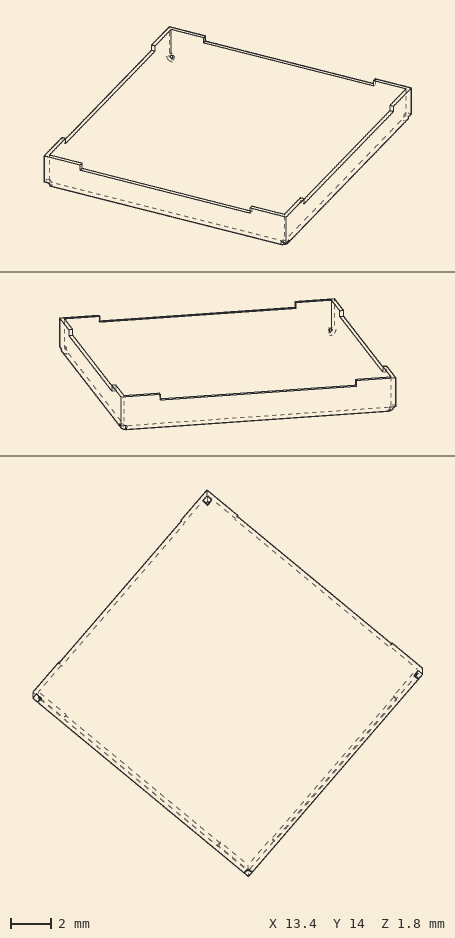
import cadquery as cq

length_x = 13.4
length_y = 14.0
height = 1.8
sheet = 0.2
inner_bend_radius = 0.1
notch_depth = 0.3
corner_tab_length = 2.0

bend_radius = sheet + inner_bend_radius
floor_x = length_x - 2 * bend_radius
floor_y = length_y - 2 * bend_radius


def make_floor():
    return cq.Workplane("XY").box(floor_x, floor_y, sheet, centered=(True, True, False))


def make_bend(outer_face, bend_length):
    """Quarter-round bend along Y, rising from the floor to the wall at x = outer_face."""
    section = (
        cq.Workplane("XZ")
        .moveTo(outer_face - bend_radius, 0)
        .radiusArc((outer_face, bend_radius), -bend_radius)
        .lineTo(outer_face - sheet, bend_radius)
        .radiusArc((outer_face - bend_radius, sheet), inner_bend_radius)
        .close()
    )
    return section.extrude(bend_length / 2, both=True)


def make_wall(outer_face, wall_length, side_length):
    """Upright wall along Y above the bend, with its top edge lowered between the corner tabs."""
    wall = cq.Workplane("XY").box(
        sheet, wall_length, height - bend_radius, centered=(True, True, False)
    )
    notch_length = side_length - 2 * corner_tab_length
    notch = (
        cq.Workplane("XY")
        .box(2 * sheet, notch_length, notch_depth, centered=(True, True, False))
        .translate((0, 0, height - bend_radius - notch_depth))
    )
    return wall.cut(notch).translate((outer_face - sheet / 2, 0, bend_radius))


def make_side(outer_face, bend_length, wall_length, side_length):
    bend = make_bend(outer_face, bend_length)
    return bend.union(make_wall(outer_face, wall_length, side_length))


x_side = make_side(length_x / 2, floor_y, length_y, length_y)
y_side = make_side(length_y / 2, floor_x, length_x - 2 * sheet, length_x)

result = make_floor()
for side, first_angle in ((x_side, 0), (y_side, 90)):
    for angle in (first_angle, first_angle + 180):
        turned_side = side.rotate((0, 0, 0), (0, 0, 1), angle)
        result = result.union(turned_side, clean=False)